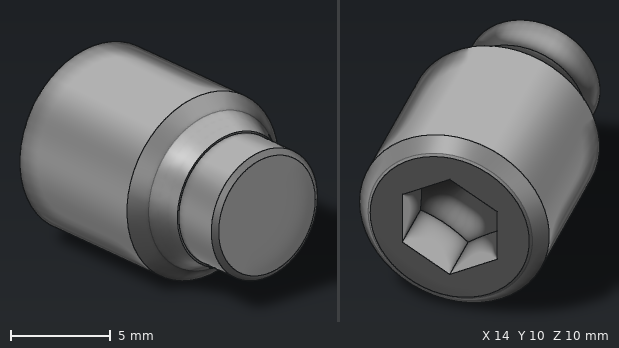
import cadquery as cq
import math

length = 14.0
body_radius = 5.0
face_radius = 4.19
rim_radius = 4.33
rim_width = 0.08
body_end = 9.05
shoulder_chamfer = 0.77
neck_end = 11.3
neck_end_radius = 3.6
neck_sag = 0.05
point_radius = 3.5
point_chamfer = 0.2
point_chamfer_drop = 0.32

hex_across_flats = 5.0
socket_depth = 3.0
drill_tip_angle = 120.0


def make_body():
    """Revolve the outer half profile about the screw axis."""
    rim_chamfer_end = rim_width + body_radius - rim_radius
    neck_start = body_end + shoulder_chamfer
    neck_start_radius = body_radius - shoulder_chamfer
    neck_middle = (
        (neck_start + neck_end) / 2,
        (neck_start_radius + neck_end_radius) / 2 - neck_sag,
    )
    return (
        cq.Workplane("XY")
        .lineTo(0, face_radius)
        .lineTo(rim_width, rim_radius)
        .lineTo(rim_chamfer_end, body_radius)
        .lineTo(body_end, body_radius)
        .lineTo(neck_start, neck_start_radius)
        .threePointArc(neck_middle, (neck_end, neck_end_radius))
        .lineTo(neck_end, point_radius)
        .lineTo(length - point_chamfer, point_radius)
        .lineTo(length, point_radius - point_chamfer_drop)
        .lineTo(length, 0)
        .close()
        .revolve(360, (0, 0, 0), (1, 0, 0))
    )


def make_socket():
    """Hexagonal prism, corners up and down, ending in a drill-point cone."""
    corner_radius = hex_across_flats / math.sqrt(3)
    cone_depth = corner_radius / math.tan(math.radians(drill_tip_angle / 2))
    prism = (
        cq.Workplane("YZ")
        .polygon(6, 2 * corner_radius)
        .extrude(socket_depth + cone_depth)
        .rotate((0, 0, 0), (1, 0, 0), 30)
    )
    drill_envelope = (
        cq.Workplane("XY")
        .lineTo(0, corner_radius)
        .lineTo(socket_depth, corner_radius)
        .lineTo(socket_depth + cone_depth, 0)
        .close()
        .revolve(360, (0, 0, 0), (1, 0, 0))
    )
    return prism.intersect(drill_envelope)


result = make_body().cut(make_socket())